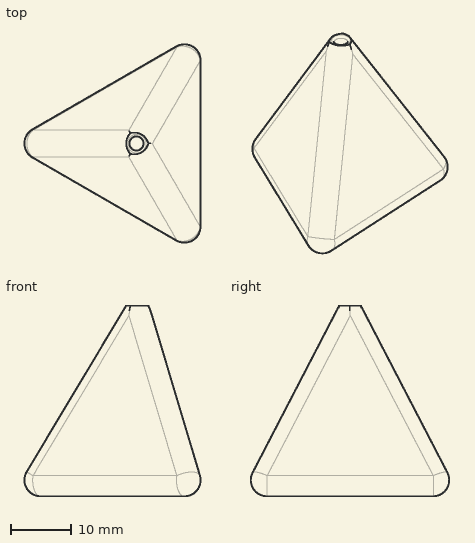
import cadquery as cq
import math

overall_width = 32.85
overall_height = 31.58
edge_radius = 2.7
rise_ratio = 1.67
bore_diameter = 2.3
bore_lip_radius = 0.4

center_side = overall_width - 2 * edge_radius
center_circumradius = center_side / math.sqrt(3)

face_slope = 2 * rise_ratio
normal_z = 1 / math.hypot(1, face_slope)
normal_out = face_slope * normal_z
sharp_inradius = center_circumradius / 2 + edge_radius * (1 + normal_z) / normal_out
sharp_circumradius = 2 * sharp_inradius
sharp_apex = cq.Vector(0, 0, rise_ratio * sharp_circumradius)

ridge_angle = 180
turn_step = 120
corner_angles = [ridge_angle + turn_step * i for i in range(3)]


def at_angle(radius, angle, z):
    a = math.radians(angle)
    return cq.Vector(radius * math.cos(a), radius * math.sin(a), z)


def triangle_face(points):
    return cq.Face.makeFromWires(cq.Wire.makePolygon(points, close=True))


def sharp_pyramid():
    """Three-sided pyramid before rounding."""
    base = [at_angle(sharp_circumradius, angle, 0) for angle in corner_angles]
    faces = [triangle_face(base)]
    for i in range(len(base)):
        faces.append(triangle_face([base[i - 1], base[i], sharp_apex]))
    return cq.Workplane(obj=cq.Solid.makeSolid(cq.Shell.makeShell(faces)))


def third_with_ridge():
    """Third of the part around the -X ridge, between the middles of two sides."""
    base_edges = cq.selectors.BoxSelector(
        (-overall_width, -overall_width, -edge_radius),
        (overall_width, overall_width, edge_radius),
    )
    pyramid = sharp_pyramid()
    ridge_point = (at_angle(sharp_circumradius, ridge_angle, 0) + sharp_apex) * 0.5
    ridge = cq.selectors.NearestToPointSelector(ridge_point.toTuple())
    rounded = pyramid.edges(base_edges + ridge).fillet(edge_radius)
    corners = [(0, 0)]
    for swing in (-turn_step / 2, 0, turn_step / 2):
        reach = at_angle(2 * overall_width, ridge_angle + swing, 0)
        corners.append((reach.x, reach.y))
    sector = cq.Workplane().polyline(corners).close().extrude(overall_height)
    return rounded.intersect(sector)


third = third_with_ridge()
body = third
for turn in (turn_step, 2 * turn_step):
    body = body.union(third.rotate((0, 0, 0), (0, 0, 1), turn))
body = body.clean()

bore = cq.Workplane().circle(bore_diameter / 2).extrude(overall_height)
body = body.cut(bore)
result = body.faces(">Z").edges(cq.selectors.RadiusNthSelector(0)).fillet(bore_lip_radius)